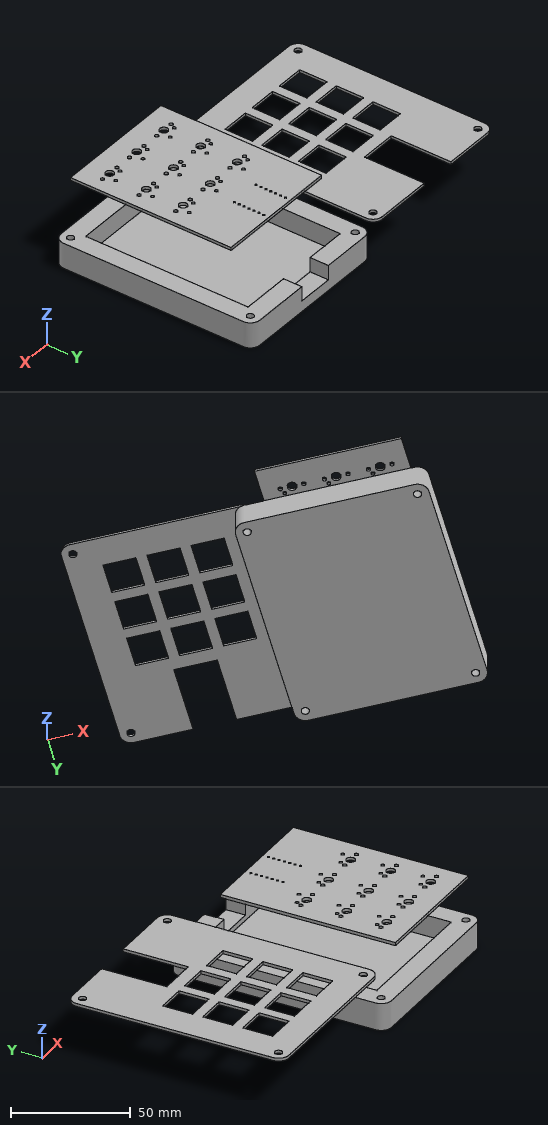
import cadquery as cq

BODY_WIDTH = 83.6
BODY_LENGTH = 103.2
CORNER_RADIUS = 5.0
SCREW_INSET = 5.0
SCREW_DIAMETER = 3.4
SLOT_LEFT = 30.5
SLOT_WIDTH = 18.6

KEYS_PER_SIDE = 3
KEY_SPAN = 38.1
KEY_PITCH = KEY_SPAN / (KEYS_PER_SIDE - 1)

CASE_X = 160.7 - BODY_WIDTH
CASE_HEIGHT = 13.0
WALL_THICKNESS = 9.5
FLOOR_THICKNESS = 3.0
SLOT_FLOOR = 5.6

PLATE_Y = 6.6
PLATE_Z = 22.7
PLATE_THICKNESS = 1.5
PLATE_SLOT_DEPTH = 31.0
WINDOW_SIZE = 14.1
WINDOW_ROW_Y = 20.7

BOARD_X = 86.3
BOARD_Y = 0.5
BOARD_THICKNESS = 1.5
BOARD_TOP = 38.7
BOARD_Z = BOARD_TOP - BOARD_THICKNESS
BOARD_WIDTH = 63.7
BOARD_LENGTH = 83.5
FIRST_SWITCH_X = 13.3
FIRST_SWITCH_Y = 11.4
GRID_UNIT = KEY_PITCH / 7.5
STEM_DIAMETER = 4.0
PEG_DIAMETER = 1.8
PIN_DIAMETER = 1.5
HEADER_PIN_DIAMETER = 0.88
HEADER_PINS = 7
HEADER_X = 21.7
HEADER_Y = 65.5
HEADER_SPACING = 6 * GRID_UNIT


def box(x, y, z, width, length, height):
    """Box with its lowest corner at (x, y, z)."""
    return cq.Workplane("XY").box(width, length, height, centered=False).translate((x, y, z))


def drill(body, points, diameter, thickness):
    """Cut holes through a body that stands on Z = 0."""
    holes = cq.Workplane("XY").pushPoints(points).circle(diameter / 2).extrude(thickness)
    return body.cut(holes)


def key_centres(first_x, first_y):
    return [
        (first_x + column * KEY_PITCH, first_y + row * KEY_PITCH)
        for column in range(KEYS_PER_SIDE)
        for row in range(KEYS_PER_SIDE)
    ]


def rounded_slab(height):
    """Rounded rectangle with a screw hole in each corner."""
    slab = box(0, 0, 0, BODY_WIDTH, BODY_LENGTH, height).edges("|Z").fillet(CORNER_RADIUS)
    screw_points = [
        (x, y)
        for x in (SCREW_INSET, BODY_WIDTH - SCREW_INSET)
        for y in (SCREW_INSET, BODY_LENGTH - SCREW_INSET)
    ]
    return drill(slab, screw_points, SCREW_DIAMETER, height)


def make_case():
    """Open tray with a cable slot through its back wall."""
    cavity = box(
        WALL_THICKNESS,
        WALL_THICKNESS,
        FLOOR_THICKNESS,
        BODY_WIDTH - 2 * WALL_THICKNESS,
        BODY_LENGTH - 2 * WALL_THICKNESS,
        CASE_HEIGHT - FLOOR_THICKNESS,
    )
    slot = box(
        SLOT_LEFT,
        BODY_LENGTH - WALL_THICKNESS,
        SLOT_FLOOR,
        SLOT_WIDTH,
        WALL_THICKNESS,
        CASE_HEIGHT - SLOT_FLOOR,
    )
    case = rounded_slab(CASE_HEIGHT).cut(cavity).cut(slot)
    return case.translate((CASE_X, 0, 0))


def make_plate():
    """Switch plate with a square window per key and a slot in its back edge."""
    slot = box(
        SLOT_LEFT, BODY_LENGTH - PLATE_SLOT_DEPTH, 0, SLOT_WIDTH, PLATE_SLOT_DEPTH, PLATE_THICKNESS
    )
    first_window_x = (BODY_WIDTH - KEY_SPAN) / 2
    windows = (
        cq.Workplane("XY")
        .pushPoints(key_centres(first_window_x, WINDOW_ROW_Y))
        .rect(WINDOW_SIZE, WINDOW_SIZE)
        .extrude(PLATE_THICKNESS)
    )
    plate = rounded_slab(PLATE_THICKNESS).cut(slot).cut(windows)
    return plate.translate((0, PLATE_Y, PLATE_Z))


def make_board():
    """Circuit board with the holes of nine switches and two pin headers."""
    board = box(0, 0, 0, BOARD_WIDTH, BOARD_LENGTH, BOARD_THICKNESS)

    stems = key_centres(FIRST_SWITCH_X, FIRST_SWITCH_Y)
    pegs = [(x + side * 2 * GRID_UNIT, y) for x, y in stems for side in (-1, 1)]
    left_pins = [(x - 1.5 * GRID_UNIT, y + GRID_UNIT) for x, y in stems]
    right_pins = [(x + GRID_UNIT, y + 2 * GRID_UNIT) for x, y in stems]
    header_pins = [
        (HEADER_X + side * HEADER_SPACING, HEADER_Y + pin * GRID_UNIT)
        for side in range(2)
        for pin in range(HEADER_PINS)
    ]

    board = drill(board, stems, STEM_DIAMETER, BOARD_THICKNESS)
    board = drill(board, pegs, PEG_DIAMETER, BOARD_THICKNESS)
    board = drill(board, left_pins + right_pins, PIN_DIAMETER, BOARD_THICKNESS)
    board = drill(board, header_pins, HEADER_PIN_DIAMETER, BOARD_THICKNESS)
    return board.translate((BOARD_X, BOARD_Y, BOARD_Z))


case = make_case()
plate = make_plate()
board = make_board()

result = cq.Compound.makeCompound([case.val(), plate.val(), board.val()])